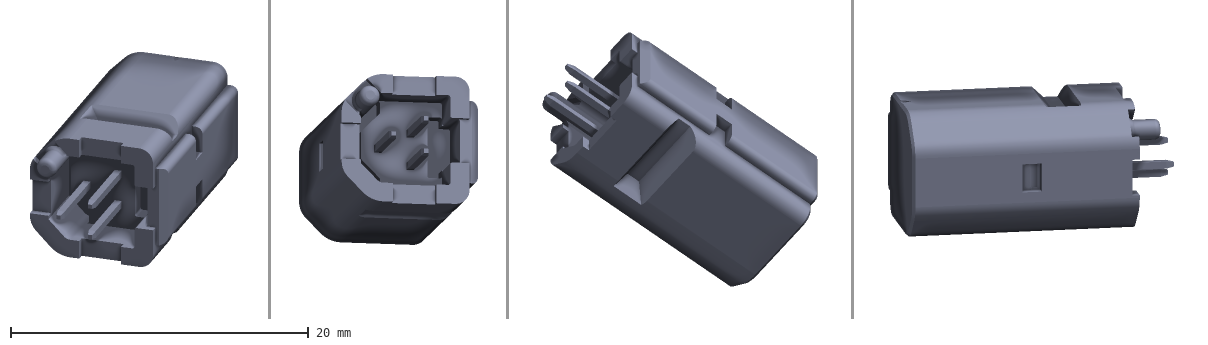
import cadquery as cq

body_width = 8.75
half_height = 4.35
overall_length = 18.35
body_length = 15.5
corner_leg = 2.04
left_blend = 1.5
top_blend = 1.96
right_radius = 1.0
back_chamfer = 0.18
notch_depth = 0.5

rail_out = 9.5
rail_half_height = 2.8
rail_round = 0.5
rail_chamfer = 0.5

cavity_left = 1.32
cavity_right = 7.43
cavity_half_height = 3.06
cavity_corner_leg = 1.28
cavity_corner_radius = 0.59
small_radius = 0.15
cavity_depth = 3.0
pocket_depth = 4.22
pocket_left = 6.42
pocket_half_height = 2.07
slot_right = 8.2
slot_half_height = 1.52
island_left = 1.89
island_shoulder = 3.17
island_half_height = 0.94

side_notch_start = 3.5
side_notch_end = 6.48
left_notch_bottom = -1.52
left_notch_top = 0.95
post_notch_width = 2.15
post_notch_length = 2.2

post_x = 1.65
post_z = 2.59
post_radius = 0.7
post_tip = -1.65
post_tip_round = 0.39
post_root_flare = 0.17
post_root_length = 0.3

pin_tip = body_length - overall_length
pin_width = 0.5
pin_tip_width = 0.3
pin_taper = 0.51
pin_pitch = 2.22
pin_right_x = 5.25
pin_middle_z = -0.22

grip_depth = 1.0
grip_floor_left = 3.23
grip_floor_front = 4.04
grip_floor_back = 5.03
grip_front_run = 0.5

window_front = 6.68
window_back = 8.0
window_half_height = 0.97
window_back_depth = 0.59
window_front_depth = 0.66
ramp_front = 7.23
ramp_back = 7.56
pad_front = 6.88
pad_back = 7.73
pad_half_height = 0.8
pad_face = 0.55
pad_chamfer = 0.11
groove_width = 0.51
groove_sag = 0.15

arrow_x = 5.25
arrow_base = 15.35
arrow_point = 14.65
arrow_half_width = 0.42
arrow_depth = 0.07

clearance = 0.18


def block(x0, x1, y0, y1, z0, z1):
    """Box between two opposite corners."""
    return cq.Workplane("XY").box(x1 - x0, y1 - y0, z1 - z0, centered=False).translate((x0, y0, z0))


def prism(points, y0, y1):
    """(X, Z) polygon extruded from y0 to y1."""
    return cq.Workplane("XZ", origin=(0, y0, 0)).polyline(points).close().extrude(y0 - y1)


def round_at(solid, x, z, radius):
    """Round the edges along Y that pass through (x, z) and (x, -z)."""
    reach = 0.01
    for height in (z, -z):
        box = cq.selectors.BoxSelector(
            (x - reach, -body_length, height - reach), (x + reach, 2 * body_length, height + reach))
        solid = solid.edges("|Y").edges(box).fillet(radius)
    return solid


def chamfered_outline(left, right, half, leg):
    """Rectangle whose two left corners are cut at 45 degrees."""
    return [(left, half - leg), (left + leg, half), (right, half),
            (right, -half), (left + leg, -half), (left, leg - half)]


def make_housing():
    outline = chamfered_outline(0, body_width, half_height, corner_leg)
    body = prism(outline, 0, body_length)
    body = round_at(body, 0, half_height - corner_leg, left_blend)
    body = round_at(body, corner_leg, half_height, top_blend)
    body = round_at(body, body_width, half_height, right_radius)

    rail = block(slot_right, rail_out, notch_depth, body_length, -rail_half_height, rail_half_height)
    rail = round_at(rail, rail_out, rail_half_height, rail_round)
    lead_in = (
        cq.Workplane("XY", origin=(0, 0, -rail_half_height))
        .polyline([(rail_out - rail_chamfer, notch_depth), (rail_out, notch_depth),
                   (rail_out, notch_depth + rail_chamfer)])
        .close()
        .extrude(2 * rail_half_height)
    )
    rail = rail.cut(lead_in)
    return body.union(rail).faces(">Y").edges().chamfer(back_chamfer)


def make_cavity():
    outline = chamfered_outline(cavity_left, cavity_right, cavity_half_height, cavity_corner_leg)
    main = prism(outline, -clearance, cavity_depth)
    main = round_at(main, cavity_left + cavity_corner_leg, cavity_half_height, cavity_corner_radius)
    main = round_at(main, cavity_right, cavity_half_height, small_radius)

    left_pocket = prism(outline, -clearance, pocket_depth)
    left_pocket = round_at(
        left_pocket, cavity_left + cavity_corner_leg, cavity_half_height, cavity_corner_radius)
    left_pocket = left_pocket.intersect(
        block(0, island_shoulder, 0, pocket_depth, -half_height, half_height))
    left_pocket = round_at(left_pocket, island_shoulder, cavity_half_height, small_radius)
    shoulder_half_height = island_half_height + island_shoulder - island_left
    island = prism(
        [(island_left, island_half_height), (island_shoulder, shoulder_half_height),
         (body_width, shoulder_half_height), (body_width, -shoulder_half_height),
         (island_shoulder, -shoulder_half_height), (island_left, -island_half_height)],
        cavity_depth, pocket_depth)
    left_pocket = left_pocket.cut(island)

    head = block(pocket_left, cavity_right, cavity_depth - clearance, pocket_depth,
                 -pocket_half_height, pocket_half_height)
    head = head.edges("|Y").fillet(small_radius)
    slot = block(pocket_left + small_radius, slot_right, -clearance, pocket_depth,
                 -slot_half_height, slot_half_height)
    slot = round_at(slot, slot_right, slot_half_height, small_radius)
    cavity = main.union(slot)
    cavity = round_at(cavity, cavity_right, slot_half_height, small_radius)
    return cavity.union(head).union(left_pocket)


def make_rim_notches():
    across = block(side_notch_start, side_notch_end, -clearance, notch_depth,
                   -half_height - clearance, half_height + clearance)
    left = block(-clearance, cavity_left + clearance, -clearance, notch_depth,
                 left_notch_bottom, left_notch_top)
    right = block(cavity_right, body_width, -clearance, notch_depth,
                  -slot_half_height, slot_half_height)
    at_post = (
        cq.Workplane("XZ", origin=(post_x, -clearance, post_z))
        .transformed(rotate=(0, 0, 45))
        .rect(post_notch_width, post_notch_length)
        .extrude(-clearance - notch_depth)
    )
    return across.union(left).union(right).union(at_post)


def make_post():
    """Pillar along the chamfered wall with a conical root on the floor of its rim notch."""
    pillar = (
        cq.Workplane("XZ", origin=(post_x, post_tip, post_z))
        .circle(post_radius)
        .extrude(post_tip - pocket_depth)
        .faces("<Y").edges().fillet(post_tip_round)
    )
    flare = (
        cq.Workplane("XZ", origin=(post_x, notch_depth, post_z))
        .circle(post_radius + post_root_flare)
        .workplane(offset=post_root_length)
        .circle(post_radius)
        .loft()
    )
    return pillar.union(flare.cut(make_cavity()))


def make_pin(x, z):
    shank_front = pin_tip + pin_taper
    shank = block(x - pin_width / 2, x + pin_width / 2, shank_front, cavity_depth + clearance,
                  z - pin_width / 2, z + pin_width / 2)
    tip = (
        cq.Workplane("XZ", origin=(x, shank_front, z))
        .rect(pin_width, pin_width)
        .workplane(offset=pin_taper)
        .rect(pin_tip_width, pin_tip_width)
        .loft()
    )
    return shank.union(tip)


def make_top_grip():
    """Trough with sloping front, back and left sides, open to the right."""
    floor = half_height - grip_depth
    front = grip_floor_front - grip_front_run
    back = grip_floor_back + grip_depth
    trough = (
        cq.Workplane("YZ")
        .polyline([(front, half_height), (grip_floor_front, floor),
                   (grip_floor_back, floor), (back, half_height)])
        .close()
        .extrude(body_width)
    )
    left_slope = prism(
        [(grip_floor_left - grip_depth, half_height), (grip_floor_left, floor),
         (body_width, floor), (body_width, half_height)],
        front, back)
    return trough.intersect(left_slope)


def make_window():
    """Blind window with a pad on its floor and a groove across the pad."""
    opening = (
        cq.Workplane("XY", origin=(0, 0, -window_half_height))
        .polyline([(0, window_front), (window_front_depth, window_front),
                   (window_front_depth, ramp_front), (window_back_depth, ramp_back),
                   (window_back_depth, window_back), (0, window_back)])
        .close()
        .extrude(2 * window_half_height)
    )
    pad = block(pad_face, cavity_left, pad_front, pad_back, -pad_half_height, pad_half_height)
    pad = pad.edges("|X and >Y").chamfer(pad_chamfer)
    groove = (
        cq.Workplane("XY", origin=(0, 0, -pad_half_height))
        .moveTo(pad_face, pad_front)
        .threePointArc((pad_face + groove_sag, pad_front + groove_width / 2),
                       (pad_face, pad_front + groove_width))
        .close()
        .extrude(2 * pad_half_height)
    )
    return opening.cut(pad).union(groove)


def make_rail_notch():
    return block(body_width, rail_out + clearance, window_front, window_back,
                 window_half_height, rail_half_height + clearance)


def make_arrow():
    return (
        cq.Workplane("XY", origin=(0, 0, half_height - arrow_depth))
        .polyline([(arrow_x - arrow_half_width, arrow_base), (arrow_x, arrow_point),
                   (arrow_x + arrow_half_width, arrow_base)])
        .close()
        .extrude(arrow_depth + clearance)
    )


result = make_housing().cut(make_cavity()).cut(make_rim_notches())
for paired_cut in (make_top_grip(), make_rail_notch()):
    result = result.cut(paired_cut).cut(paired_cut.mirror("XY"))
result = result.cut(make_window()).cut(make_arrow()).union(make_post())

pin_places = [
    (pin_right_x - pin_pitch, pin_middle_z),
    (pin_right_x, pin_middle_z + pin_pitch / 2),
    (pin_right_x, pin_middle_z - pin_pitch / 2),
]
for pin_x, pin_z in pin_places:
    result = result.union(make_pin(pin_x, pin_z))